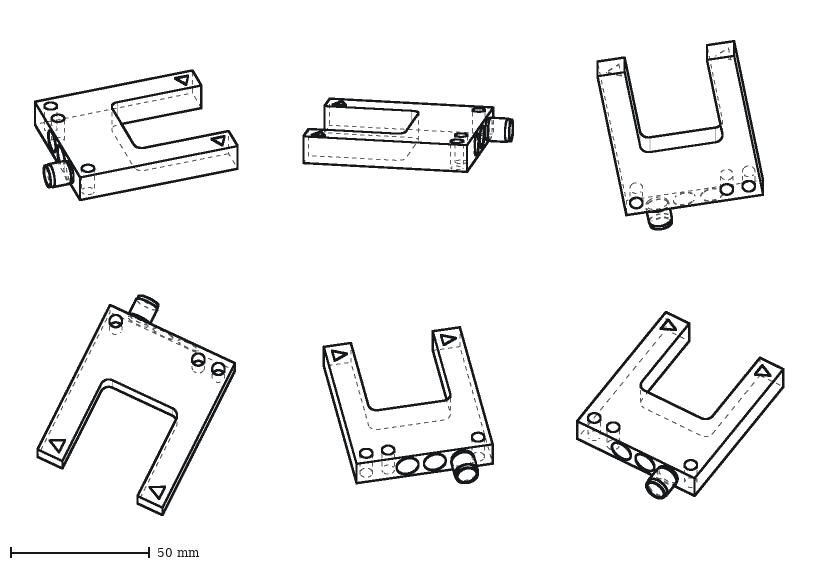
import cadquery as cq

body_width = 50.0
body_thickness = 10.0
overall_length = 68.65
connector_length = 8.65
body_length = overall_length - connector_length
top_z = body_thickness / 2

gap_width = 30.0
gap_depth = 35
gap_corner_radius = 3.0
prong_width = (body_width - gap_width) / 2
prong_pitch = gap_width + prong_width

hole_diameter = 4.5
hole_edge_distance = 4.5
outer_hole_x = 20.5
inner_hole_x = -12.5

window_diameter = 8.0
window_depth = 0.3
connector_x = 13.8
rear_pitch = 10.0

connector_diameter = 8.0
band_diameter = 8.5
neck_length = 0.95
band_length = 6.25
tip_recess_diameter = 7.0
tip_recess_depth = 0.1

arrow_size = 5.0
arrow_side_margin = 2.55
arrow_end_margin = 2.5
arrow_depth = 0.3


def rear_cylinder(x, y_start, length, diameter):
    """Cylinder running from y_start towards -Y."""
    plane = cq.Workplane("XZ", origin=(x, y_start, 0))
    return plane.circle(diameter / 2).extrude(length)


def fork_body():
    block = cq.Workplane("XY").box(
        body_width, body_length, body_thickness, centered=(True, False, True)
    )
    gap = (
        cq.Workplane("XY")
        .box(gap_width, gap_depth, body_thickness, centered=(True, False, True))
        .edges("|Z and <Y")
        .fillet(gap_corner_radius)
        .translate((0, body_length - gap_depth, 0))
    )
    return block.cut(gap)


def mounting_holes():
    centres = [(x, hole_edge_distance) for x in (-outer_hole_x, inner_hole_x, outer_hole_x)]
    plane = cq.Workplane("XY", origin=(0, 0, -top_z))
    return plane.pushPoints(centres).circle(hole_diameter / 2).extrude(body_thickness)


def arrowhead(left_x):
    end_y = body_length - arrow_end_margin
    return (
        cq.Workplane("XY", origin=(0, 0, top_z - arrow_depth))
        .moveTo(left_x, end_y)
        .lineTo(left_x, end_y - arrow_size)
        .lineTo(left_x + arrow_size, end_y - arrow_size / 2)
        .close()
        .extrude(arrow_depth)
    )


def connector():
    core = rear_cylinder(connector_x, 0, connector_length, connector_diameter)
    band = rear_cylinder(connector_x, -neck_length, band_length, band_diameter)
    recess_floor = tip_recess_depth - connector_length
    recess = rear_cylinder(connector_x, recess_floor, tip_recess_depth, tip_recess_diameter)
    return core.union(band).cut(recess)


result = fork_body().cut(mounting_holes())

for step in (1, 2):
    window_x = connector_x - step * rear_pitch
    result = result.cut(rear_cylinder(window_x, window_depth, window_depth, window_diameter))

for prong in (0, 1):
    arrow_x = -body_width / 2 + arrow_side_margin + prong * prong_pitch
    result = result.cut(arrowhead(arrow_x))

result = result.union(connector())